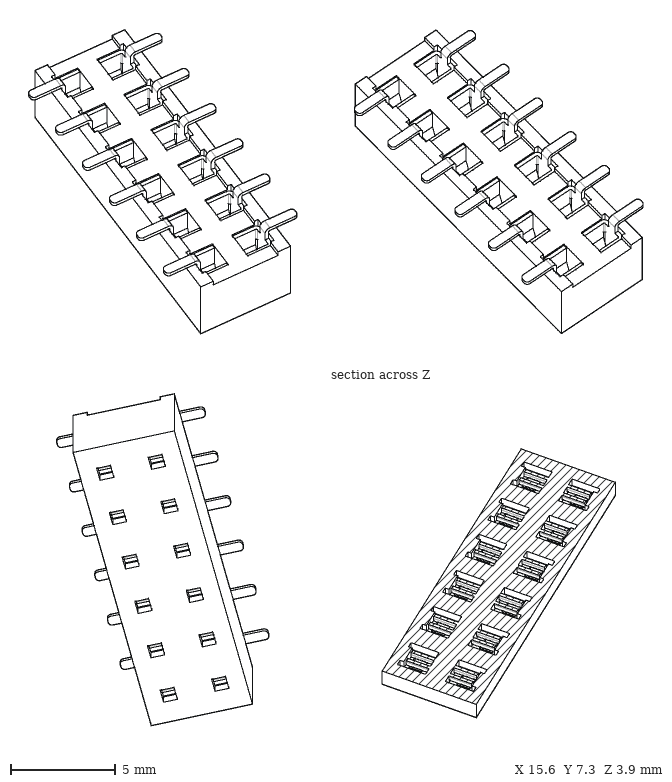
import cadquery as cq
import math

PIN_COUNT = 6
PITCH = 2.54
BODY_LENGTH = 15.64
BODY_WIDTH = 5.0
BODY_HEIGHT = 3.52
CHANNEL_FLOOR = 3.25
CHANNEL_HALF_WIDTH = 1.8

LEAD_TOP = 3.9
LEAD_REACH = 3.65
LEAD_WIDTH = 0.5
SHEET = 0.2
BEND_INNER_RADIUS = 0.07
BEND_OUTER_RADIUS = BEND_INNER_RADIUS + SHEET
LEAD_TIP_RADIUS = 0.2

ROW_Y = PITCH / 2
LEG_INNER_Y = CHANNEL_HALF_WIDTH
LEG_OUTER_Y = LEG_INNER_Y + SHEET
POCKET_WIDTH = 1.5
POCKET_FRONT_Y = 2 * ROW_Y - LEG_OUTER_Y
POCKET_FLOOR = 0.5
PIN_HOLE = 0.68

CONTACT_RECESS = 0.1
CONTACT_TOP = CHANNEL_FLOOR - CONTACT_RECESS
CONTACT_CORNER_INNER = 0.06
CONTACT_CORNER_OUTER = CONTACT_CORNER_INNER + SHEET
ARM_INNER_X = POCKET_WIDTH / 2 - SHEET
COLLAR_BOTTOM = 2.4
ARM_BEND_Z = 2.0
ARM_BACK_Y = LEG_INNER_Y - CONTACT_CORNER_INNER
ARM_PINCH_Z = 0.95
ARM_TIP_Z = 0.65
PINCH_RADIUS = 0.7
ARM_TIP_GAP = 0.35
BACK_PLATE_HALF_WIDTH = ARM_INNER_X - CONTACT_CORNER_INNER


def box(x_min, x_max, y_min, y_max, z_min, z_max):
    """Axis-aligned box given by its limits."""
    size = (x_max - x_min, y_max - y_min, z_max - z_min)
    return cq.Workplane("XY").box(*size, centered=False).translate((x_min, y_min, z_min))


def make_body():
    """Plain block with a shallow lengthwise channel along its top."""
    half_length = BODY_LENGTH / 2
    half_width = BODY_WIDTH / 2
    block = box(-half_length, half_length, -half_width, half_width, 0, BODY_HEIGHT)
    channel = box(
        -half_length, half_length,
        -CHANNEL_HALF_WIDTH, CHANNEL_HALF_WIDTH,
        CHANNEL_FLOOR, BODY_HEIGHT,
    )
    return block.cut(channel)


def make_pocket():
    """Cutter for one pocket of the +Y row at X = 0, with its pin hole through the floor."""
    half_width = POCKET_WIDTH / 2
    half_hole = PIN_HOLE / 2
    pocket = box(-half_width, half_width, POCKET_FRONT_Y, LEG_OUTER_Y, POCKET_FLOOR, BODY_HEIGHT)
    hole = box(-half_hole, half_hole, ROW_Y - half_hole, ROW_Y + half_hole, 0, POCKET_FLOOR)
    return pocket.union(hole)


def make_lead():
    """Leg rising from the contact, bent outward into a flat tail with a rounded tip."""
    tail_bottom = LEAD_TOP - SHEET
    bend_y = LEG_INNER_Y + BEND_OUTER_RADIUS
    bend_z = LEAD_TOP - BEND_OUTER_RADIUS
    diagonal = math.cos(math.pi / 4)
    outer_mid = (bend_y - BEND_OUTER_RADIUS * diagonal, bend_z + BEND_OUTER_RADIUS * diagonal)
    inner_mid = (bend_y - BEND_INNER_RADIUS * diagonal, bend_z + BEND_INNER_RADIUS * diagonal)
    lead = (
        cq.Workplane("YZ")
        .moveTo(LEG_INNER_Y, COLLAR_BOTTOM)
        .lineTo(LEG_INNER_Y, bend_z)
        .threePointArc(outer_mid, (bend_y, LEAD_TOP))
        .lineTo(LEAD_REACH, LEAD_TOP)
        .lineTo(LEAD_REACH, tail_bottom)
        .lineTo(bend_y, tail_bottom)
        .threePointArc(inner_mid, (LEG_OUTER_Y, bend_z))
        .lineTo(LEG_OUTER_Y, COLLAR_BOTTOM)
        .close()
        .extrude(LEAD_WIDTH / 2, both=True)
    )
    return lead.faces(">Y").edges("|Z").fillet(LEAD_TIP_RADIUS)


def make_contact_collar():
    """U-shaped upper part of the contact: back plate and two upright arms, bent at the corners."""
    half_width = POCKET_WIDTH / 2
    outer = box(-half_width, half_width, POCKET_FRONT_Y, LEG_OUTER_Y, COLLAR_BOTTOM, CONTACT_TOP)
    inner = box(-ARM_INNER_X, ARM_INNER_X, POCKET_FRONT_Y, LEG_INNER_Y, COLLAR_BOTTOM, CONTACT_TOP)
    outer = outer.edges("|Z and >Y").fillet(CONTACT_CORNER_OUTER)
    inner = inner.edges("|Z and >Y").fillet(CONTACT_CORNER_INNER)
    return outer.cut(inner)


def make_arm():
    """Lower part of the +X arm, leaning inward from the collar to a rounded pinch above its tip."""
    tip_x = ARM_TIP_GAP / 2
    outer_tip_x = tip_x + SHEET
    arm = (
        cq.Workplane("XZ", origin=(0, ARM_BACK_Y, 0))
        .moveTo(ARM_INNER_X, COLLAR_BOTTOM)
        .lineTo(ARM_INNER_X, ARM_BEND_Z)
        .lineTo(tip_x, ARM_PINCH_Z)
        .lineTo(tip_x, ARM_TIP_Z)
        .lineTo(outer_tip_x, ARM_TIP_Z)
        .lineTo(outer_tip_x, ARM_PINCH_Z)
        .lineTo(POCKET_WIDTH / 2, ARM_BEND_Z)
        .lineTo(POCKET_WIDTH / 2, COLLAR_BOTTOM)
        .close()
        .extrude(ARM_BACK_Y - POCKET_FRONT_Y)
    )
    middle_y = (ARM_BACK_Y + POCKET_FRONT_Y) / 2
    inner_pinch = cq.NearestToPointSelector((tip_x, middle_y, ARM_PINCH_Z))
    outer_pinch = cq.NearestToPointSelector((outer_tip_x, middle_y, ARM_PINCH_Z))
    arm = arm.edges(inner_pinch).fillet(PINCH_RADIUS)
    return arm.edges(outer_pinch).fillet(PINCH_RADIUS - SHEET)


def make_contact():
    """Complete contact of the +Y row at X = 0."""
    arm = make_arm()
    back_plate = box(
        -BACK_PLATE_HALF_WIDTH, BACK_PLATE_HALF_WIDTH,
        LEG_INNER_Y, LEG_OUTER_Y,
        POCKET_FLOOR, COLLAR_BOTTOM,
    )
    contact = make_contact_collar().union(back_plate)
    return contact.union(arm).union(arm.mirror("YZ")).union(make_lead())


def place_in_rows(shape):
    """Copies of a +Y row shape at every pin position of both rows."""
    first_x = -PITCH * (PIN_COUNT - 1) / 2
    copies = []
    for index in range(PIN_COUNT):
        copy = shape.translate((first_x + index * PITCH, 0, 0))
        copies.append(copy)
        copies.append(copy.mirror("XZ"))
    return copies


result = make_body()
for pocket in place_in_rows(make_pocket()):
    result = result.cut(pocket)
for contact in place_in_rows(make_contact()):
    result = result.union(contact)